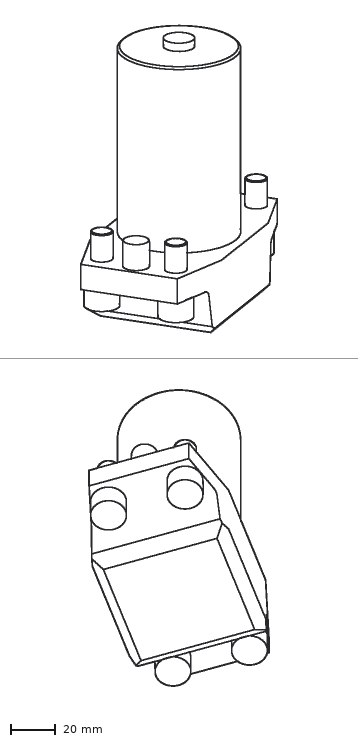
import cadquery as cq

total_height = 127.0
base_width = 64.0
base_length = 112.0

end_width = 46.9
straight_length = 51.8
plate_top = 35.0
plate_bottom = 23.1
block_top_length = 70.1
block_bottom_length = 64.8
bottom_bevel_height = 5.3
bottom_bevel_inset_x = 5.3
bottom_bevel_inset_y = 6.1
root_radius = 2.5

body_diameter = 55.0
body_top = 123.0
body_chamfer = 1.0
stub_diameter = 14.0

screw_spacing_x = 36.0
screw_spacing_y = 90.0
screw_diameter = 10.0
screw_top = 48.1
screw_chamfer = 0.5
head_diameter = 16.0
head_bottom = 12.7

dowel_spacing = 96.1
dowel_diameter = 12.0
dowel_top = 47.2
dowel_chamfer_height = 1.0
dowel_chamfer_inset = 0.3


def cylinder(diameter, bottom, top):
    """Upright cylinder on the Z axis."""
    return cq.Workplane("XY", origin=(0, 0, bottom)).circle(diameter / 2).extrude(top - bottom)


def make_base():
    """Plate with narrowed ends, undercut at both ends to leave a tapered block with a beveled bottom."""
    outline = (
        cq.Workplane("XY")
        .moveTo(base_width / 2, -straight_length / 2)
        .lineTo(base_width / 2, straight_length / 2)
        .lineTo(end_width / 2, base_length / 2)
        .lineTo(-end_width / 2, base_length / 2)
        .lineTo(-base_width / 2, straight_length / 2)
        .lineTo(-base_width / 2, -straight_length / 2)
        .lineTo(-end_width / 2, -base_length / 2)
        .lineTo(end_width / 2, -base_length / 2)
        .close()
        .extrude(plate_top)
    )
    profile = (
        cq.Workplane("YZ")
        .moveTo(-block_bottom_length / 2, bottom_bevel_height)
        .lineTo(bottom_bevel_inset_y - block_bottom_length / 2, 0)
        .lineTo(block_bottom_length / 2 - bottom_bevel_inset_y, 0)
        .lineTo(block_bottom_length / 2, bottom_bevel_height)
        .lineTo(block_top_length / 2, plate_bottom)
        .lineTo(base_length / 2, plate_bottom)
        .lineTo(base_length / 2, plate_top)
        .lineTo(-base_length / 2, plate_top)
        .lineTo(-base_length / 2, plate_bottom)
        .lineTo(-block_top_length / 2, plate_bottom)
        .close()
        .extrude(base_width / 2, both=True)
    )
    cross_section = (
        cq.Workplane("XZ")
        .moveTo(bottom_bevel_inset_x - base_width / 2, 0)
        .lineTo(base_width / 2 - bottom_bevel_inset_x, 0)
        .lineTo(base_width / 2, bottom_bevel_height)
        .lineTo(base_width / 2, plate_top)
        .lineTo(-base_width / 2, plate_top)
        .lineTo(-base_width / 2, bottom_bevel_height)
        .close()
        .extrude(base_length / 2, both=True)
    )
    base = outline.intersect(profile).intersect(cross_section)
    for side in (-1, 1):
        root = (0, side * block_top_length / 2, plate_bottom)
        base = base.edges(cq.selectors.NearestToPointSelector(root)).fillet(root_radius)
    return base


def make_body():
    """Main cylinder with a chamfered rim and a central stub."""
    body = cylinder(body_diameter, plate_top, body_top).faces(">Z").chamfer(body_chamfer)
    return body.union(cylinder(stub_diameter, body_top, total_height))


def make_screw():
    """Screw passing up through the plate, with its head below."""
    shank = cylinder(screw_diameter, plate_bottom, screw_top).faces(">Z").chamfer(screw_chamfer)
    return shank.union(cylinder(head_diameter, head_bottom, plate_bottom))


def make_dowel():
    """Dowel standing on the plate, with a steep lead-in at its tip."""
    tip_bottom = dowel_top - dowel_chamfer_height
    tip = (
        cq.Workplane("XY", origin=(0, 0, tip_bottom))
        .circle(dowel_diameter / 2)
        .workplane(offset=dowel_chamfer_height)
        .circle(dowel_diameter / 2 - dowel_chamfer_inset)
        .loft()
    )
    return cylinder(dowel_diameter, plate_bottom, tip_bottom).union(tip)


result = make_base().union(make_body())
for y_side in (-1, 1):
    result = result.union(make_dowel().translate((0, y_side * dowel_spacing / 2, 0)))
    for x_side in (-1, 1):
        place = (x_side * screw_spacing_x / 2, y_side * screw_spacing_y / 2, 0)
        result = result.union(make_screw().translate(place))